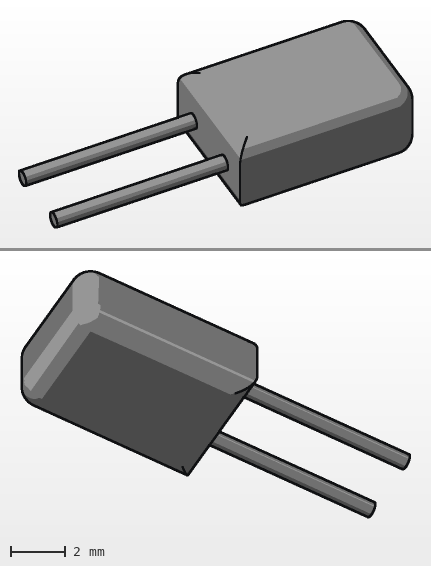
import cadquery as cq

total_length = 14.36
case_width = 5.08
case_height = 3.19
case_length = 7.37
edge_radius = 0.76

lead_diameter = 0.6
lead_pitch = 2.54
lead_length = total_length - case_length


def make_case():
    """Block from y = 0 to +Y, rounded all over except the two upright edges of its lead face."""
    block = cq.Workplane("XY").box(case_width, case_length, case_height, centered=(True, False, True))
    rounded_edges = block.edges("(>Z or <Z) or (|Z and >Y)")
    return rounded_edges.fillet(edge_radius)


def make_lead(x_position):
    """Straight round wire that butts against the lead face and runs towards -Y."""
    return (
        cq.Workplane("XZ")
        .center(x_position, 0)
        .circle(lead_diameter / 2)
        .extrude(lead_length)
    )


case = make_case()
leads = [make_lead(side * lead_pitch / 2) for side in (-1, 1)]

result = cq.Compound.makeCompound([case.val(), *[lead.val() for lead in leads]])